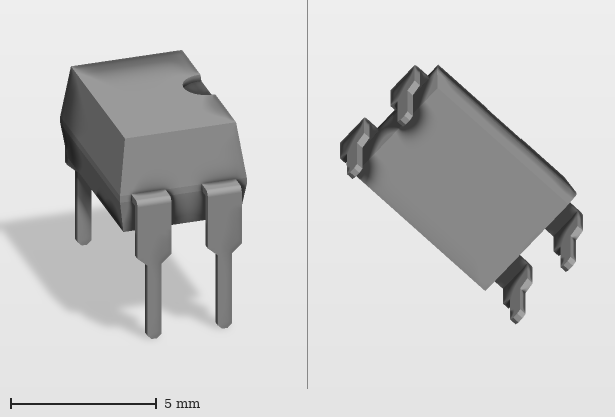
import cadquery as cq

body_length = 6.52
body_width = 4.58
body_top = 7.3
body_bottom = 3.79
band_top = 5.29
band_height = 0.25
band_bottom = band_top - band_height
top_inset_x = 0.315
top_inset_y = 0.28
bottom_inset_x = 0.205
bottom_inset_y = 0.19

notch_radius = 0.8
notch_depth = 0.25
notch_x = -0.13
notch_edge_offset = 0.06

lead_span = 7.87
lead_pitch = 2.54
lead_thickness = 0.25
lead_top = 5.305
lead_bend_radius = 0.2
lead_embed = 0.39
lead_width = 1.23
pin_width = 0.5
shoulder_top = 3.15
shoulder_bottom = 2.825
tip_chamfer = 0.15


def tapered_half(start_z, end_z, inset_x, inset_y):
    """Body half running from the full outline at start_z to an inset outline at end_z."""
    return (
        cq.Workplane("XY", origin=(0, 0, start_z))
        .rect(body_length, body_width)
        .workplane(offset=end_z - start_z)
        .rect(body_length - 2 * inset_x, body_width - 2 * inset_y)
        .loft(ruled=True)
    )


def make_body():
    band = (
        cq.Workplane("XY", origin=(0, 0, band_bottom))
        .rect(body_length, body_width)
        .extrude(band_height)
    )
    upper = tapered_half(band_top, body_top, top_inset_x, top_inset_y)
    lower = tapered_half(band_bottom, body_bottom, bottom_inset_x, bottom_inset_y)
    return band.union(upper).union(lower)


def make_notch():
    """U-shaped cutter that is open towards +Y."""
    center_y = body_width / 2 - top_inset_y - notch_edge_offset
    return (
        cq.Workplane("XY", origin=(notch_x, center_y, body_top - notch_depth))
        .moveTo(-notch_radius, 0)
        .threePointArc((0, -notch_radius), (notch_radius, 0))
        .lineTo(notch_radius, body_width / 2)
        .lineTo(-notch_radius, body_width / 2)
        .close()
        .extrude(notch_depth)
    )


def make_left_lead(center_y):
    """L-shaped strip on the -X end, trimmed to a wide shank, a narrow pin and a chamfered tip."""
    outer_x = -lead_span / 2
    inner_x = -body_length / 2 + lead_embed
    strip = (
        cq.Workplane("XZ", origin=(0, center_y, 0))
        .moveTo(outer_x, 0)
        .lineTo(outer_x, lead_top - lead_bend_radius)
        .radiusArc((outer_x + lead_bend_radius, lead_top), lead_bend_radius)
        .lineTo(inner_x, lead_top)
        .lineTo(inner_x, lead_top - lead_thickness)
        .lineTo(outer_x + lead_thickness, lead_top - lead_thickness)
        .lineTo(outer_x + lead_thickness, 0)
        .close()
        .extrude(lead_width / 2, both=True)
    )
    half_lead = lead_width / 2
    half_pin = pin_width / 2
    half_outline = [
        (half_pin - tip_chamfer, 0),
        (half_pin, tip_chamfer),
        (half_pin, shoulder_bottom),
        (half_lead, shoulder_top),
        (half_lead, lead_top),
    ]
    mirrored_outline = [(-y, z) for y, z in reversed(half_outline)]
    silhouette = (
        cq.Workplane("YZ", origin=(outer_x, center_y, 0))
        .polyline(half_outline + mirrored_outline)
        .close()
        .extrude(inner_x - outer_x)
    )
    return strip.intersect(silhouette)


result = make_body().cut(make_notch())
for side_y in (-lead_pitch / 2, lead_pitch / 2):
    left_lead = make_left_lead(side_y)
    right_lead = left_lead.mirror("YZ")
    result = result.union(left_lead).union(right_lead)